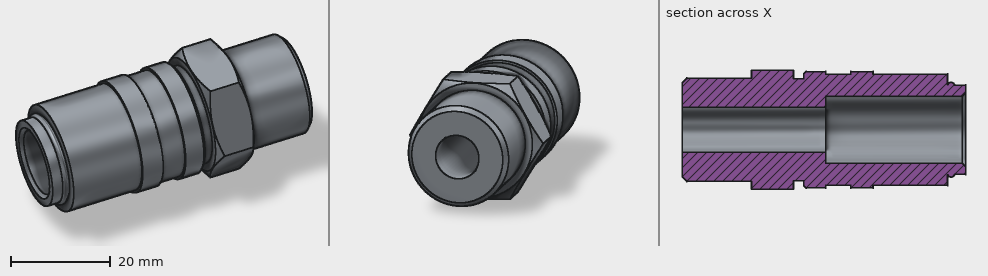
import cadquery as cq
import math

length = 57.0
stub_end = 13.9
hex_end = 22.4
neck_end = 24.4
rear_band_end = 28.9
front_band_start = 33.85
front_band_end = 38.35
sleeve_end = 53.35

stub_radius = 10.45
neck_radius = 10.25
band_radius = 11.75
sleeve_radius = 11.25
nose_radius = 9.0

stub_chamfer = 0.95
band_chamfer = 0.5

hex_across_flats = 24.0
hex_corner_radius = hex_across_flats / math.sqrt(3)
hex_face_radius = 11.9
hex_cone_depth = (hex_corner_radius - hex_face_radius) * math.tan(math.radians(30))

ring_radius = 9.6
ring_section_radius = 0.75
ring_station = 54.05

passage_radius = 4.5
socket_radius = 6.7
socket_depth = length - rear_band_end
mouth_radius = 7.45
mouth_depth = mouth_radius - socket_radius


def y_at(station):
    """Y position of a station, with the part centred on the origin."""
    return length / 2 - station


def revolve_profile(points):
    """Turn a profile of (station, radius) points about the Y axis."""
    outline = [(radius, y_at(station)) for station, radius in points]
    return cq.Workplane("XY").polyline(outline).close().revolve(360, (0, 0, 0), (0, 1, 0))


def turned(start, end, radius, start_chamfer=0):
    """Cylinder between two stations, optionally chamfered at its start."""
    body = cq.Workplane("XZ", origin=(0, y_at(start), 0)).circle(radius).extrude(end - start)
    if start_chamfer:
        body = body.faces(">Y").chamfer(start_chamfer)
    return body


def hex_nut():
    """Hexagon with flats facing +Z and -Z and both ends coned."""
    prism = (
        cq.Workplane("XZ", origin=(0, y_at(stub_end), 0))
        .polygon(6, 2 * hex_corner_radius)
        .extrude(hex_end - stub_end)
    )
    envelope = revolve_profile([
        (stub_end, 0),
        (stub_end, hex_face_radius),
        (stub_end + hex_cone_depth, hex_corner_radius),
        (hex_end - hex_cone_depth, hex_corner_radius),
        (hex_end, hex_face_radius),
        (hex_end, 0),
    ])
    return prism.intersect(envelope)


def rounded_ring():
    """Ring of circular section around the nose."""
    centre_radius = ring_radius - ring_section_radius
    section = cq.Workplane("XY", origin=(0, y_at(ring_station), 0)).moveTo(centre_radius, 0)
    return section.circle(ring_section_radius).revolve(360, (0, 0, 0), (0, 1, 0))


def stepped_bore():
    """Narrow through passage opening into a wide socket with a chamfered mouth."""
    return revolve_profile([
        (0, 0),
        (0, passage_radius),
        (length - socket_depth, passage_radius),
        (length - socket_depth, socket_radius),
        (length - mouth_depth, socket_radius),
        (length, mouth_radius),
        (length, 0),
    ])


result = (
    turned(0, stub_end, stub_radius, stub_chamfer)
    .union(hex_nut())
    .union(turned(hex_end, neck_end, neck_radius))
    .union(turned(neck_end, rear_band_end, band_radius, band_chamfer))
    .union(turned(rear_band_end, sleeve_end, sleeve_radius))
    .union(turned(front_band_start, front_band_end, band_radius))
    .union(turned(sleeve_end, length, nose_radius))
    .union(rounded_ring())
    .cut(stepped_bore())
)